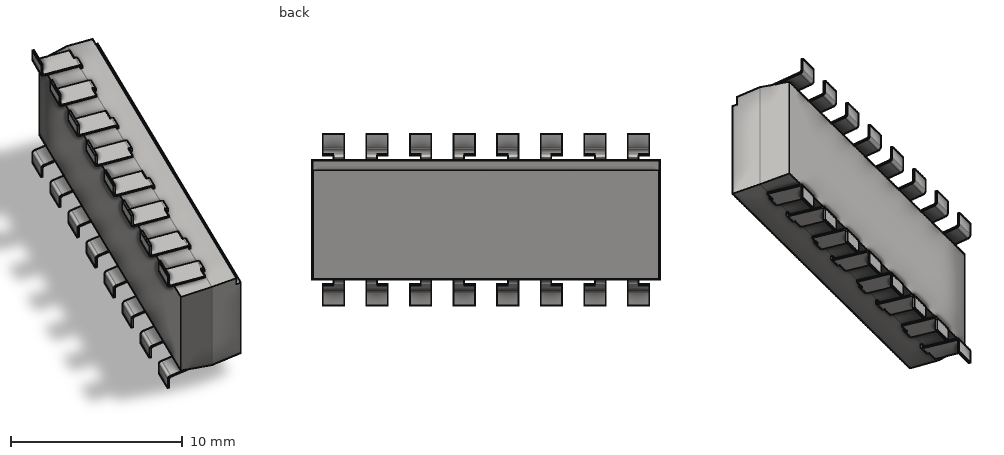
import cadquery as cq
import math

body_length = 20.3
body_height = 7.0
front_depth = 1.89
back_depth = 1.9
front_inset = 0.2
back_inset = 0.08

step_depth = 0.3
step_drop = 0.6

leads_per_row = 8
lead_pitch = 2.54
lead_width = 1.25
neck_width = lead_width / 2
lead_thickness = 0.12
lead_span = 10.0
foot_face_y = -2.54
leg_tilt = math.radians(6.5)
neck_back_y = 0.12
shoulder_y = -0.12
bend_top_z = 3.84
neck_embed = 0.4
inner_bend = 0.1
outer_bend = inner_bend + lead_thickness


def make_half(depth, inset, direction):
    """One half of the body, tapering away from Y = 0."""
    taper = math.degrees(math.atan(inset / depth))
    return (
        cq.Workplane(cq.Plane((0, 0, 0), (1, 0, 0), (0, direction, 0)))
        .rect(body_length, body_height)
        .extrude(depth, taper=taper)
    )


def make_body():
    front = make_half(front_depth, front_inset, -1)
    back = make_half(back_depth, back_inset, 1)
    step = (
        cq.Workplane("XY")
        .box(body_length, step_depth, step_drop, centered=(True, False, False))
        .translate((0, back_depth - step_depth, body_height / 2 - step_drop))
    )
    return front.union(back).cut(step)


def leg_top(y):
    """Height of the upper face of the sloping leg."""
    return bend_top_z - y * math.tan(leg_tilt)


def leg_bottom(y):
    """Height of the lower face of the sloping leg."""
    return leg_top(y) - lead_thickness / math.cos(leg_tilt)


def make_lead(neck_side):
    """Upper lead centred on X = 0; neck_side is +1 or -1, the side in X that keeps the neck."""
    neck_front_y = neck_back_y - lead_thickness
    foot_back_y = foot_face_y + lead_thickness
    neck_base_z = body_height / 2 - neck_embed
    tip_z = lead_span / 2

    neck_outer = (neck_back_y, leg_top(neck_back_y))
    neck_inner = (neck_front_y, leg_bottom(neck_front_y))
    foot_outer = (foot_face_y, leg_bottom(foot_face_y))
    foot_inner = (foot_back_y, leg_top(foot_back_y))
    outline = [
        (neck_back_y, neck_base_z),
        neck_outer,
        foot_inner,
        (foot_back_y, tip_z),
        (foot_face_y, tip_z),
        foot_outer,
        neck_inner,
        (neck_front_y, neck_base_z),
    ]
    lead = cq.Workplane("YZ").polyline(outline).close().extrude(lead_width / 2, both=True)

    bends = [
        (neck_outer, outer_bend),
        (neck_inner, inner_bend),
        (foot_outer, outer_bend),
        (foot_inner, inner_bend),
    ]
    for (y, z), radius in bends:
        corner = cq.selectors.NearestToPointSelector((0, y, z))
        lead = lead.edges("|X").edges(corner).fillet(radius)

    notch_width = lead_width - neck_width
    notch_center_x = neck_side * (notch_width - lead_width) / 2
    notch = (
        cq.Workplane("XY")
        .box(notch_width, neck_back_y - shoulder_y, lead_span, centered=(True, False, True))
        .translate((notch_center_x, shoulder_y, 0))
    )
    return lead.cut(notch)


result = make_body()

for i in range(leads_per_row):
    lead_x = (i - (leads_per_row - 1) / 2) * lead_pitch
    neck_side = 1 if i % 2 == 0 else -1
    upper_lead = make_lead(neck_side).translate((lead_x, 0, 0))
    result = result.union(upper_lead).union(upper_lead.mirror("XY"))